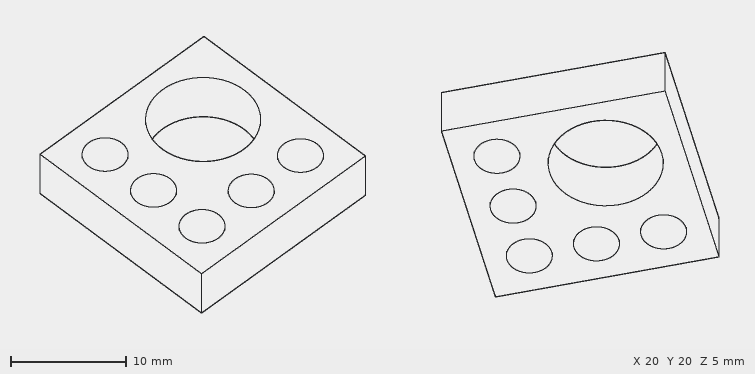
import cadquery as cq

side = 20
thickness = 5

wall = 2
small_diameter = 4
large_diameter = 10

row_end = side / 2 - wall - small_diameter / 2
small_centers = [
    (-row_end, -row_end),
    (0, -row_end),
    (row_end, -row_end),
    (row_end, 0),
    (row_end, row_end),
]

large_offset = side / 2 - wall - large_diameter / 2

plate = cq.Workplane("XY").box(side, side, thickness)
plate = plate.faces(">Z").workplane(origin=(0, 0, 0)).pushPoints(small_centers).hole(small_diameter)
large_center = (-large_offset, large_offset)
result = plate.faces(">Z").workplane(origin=(0, 0, 0)).pushPoints([large_center]).hole(large_diameter)